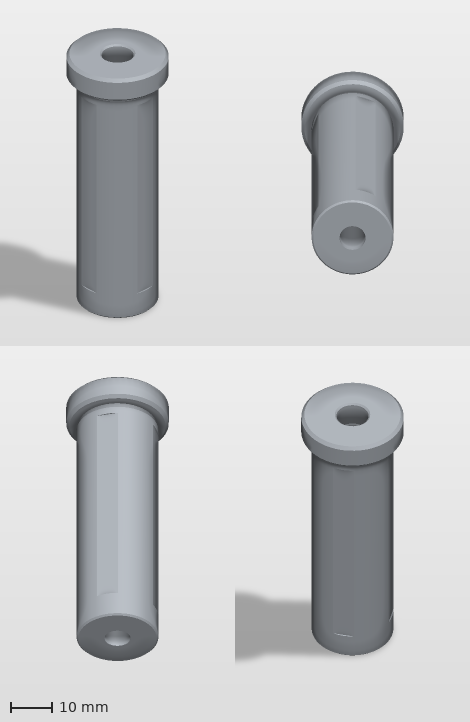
import cadquery as cq

total_length = 69.85
head_diameter = 25.0
head_height = 6.35
head_chamfer = 0.8

shank_diameter = 20.0
shank_chamfer = 0.4
neck_diameter = 19.3
neck_height = 1.3

flat_count = 4
flat_bottom = 6.5
flat_top = 60.35
flat_distance = neck_diameter / 2

bore_diameter = 6.35
counterbore_diameter = 7.8
counterbore_depth = head_height
counterbore_chamfer = 0.4

head_bottom = total_length - head_height
neck_bottom = head_bottom - neck_height


def cylinder(diameter, bottom, top):
    """Solid cylinder on the Z axis between two heights."""
    return cq.Workplane("XY").workplane(offset=bottom).circle(diameter / 2).extrude(top - bottom)


def flat_cutter(angle):
    """Block that removes the shank material beyond one flat."""
    thickness = shank_diameter / 2
    block = cq.Workplane("XY").box(
        thickness, shank_diameter, flat_top - flat_bottom, centered=(False, True, False)
    )
    block = block.translate((flat_distance, 0, flat_bottom))
    return block.rotate((0, 0, 0), (0, 0, 1), angle)


shank = cylinder(shank_diameter, 0, neck_bottom).faces("<Z").edges().chamfer(shank_chamfer)
for index in range(flat_count):
    shank = shank.cut(flat_cutter(index * 360 / flat_count))

neck = cylinder(neck_diameter, neck_bottom, head_bottom)
head = cylinder(head_diameter, head_bottom, total_length).faces("<Z or >Z").edges().chamfer(head_chamfer)
body = shank.union(neck).union(head)

bore = cylinder(bore_diameter, 0, total_length)
counterbore = cylinder(counterbore_diameter, total_length - counterbore_depth, total_length)
lead_in = (
    cq.Workplane("XY")
    .workplane(offset=total_length)
    .circle(counterbore_diameter / 2 + counterbore_chamfer)
    .workplane(offset=-counterbore_chamfer)
    .circle(counterbore_diameter / 2)
    .loft()
)

result = body.cut(bore).cut(counterbore).cut(lead_in)